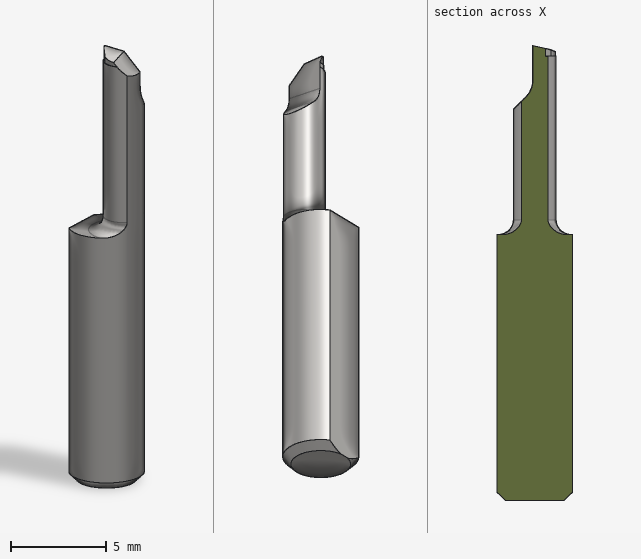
import cadquery as cq
import math

total_height = 24.0
shank_radius = 2.005
shank_height = 14.02
shank_chamfer = 0.43
flat_x = -1.548

neck_radius = 1.13
neck_x = 1.1
root_fillet = 0.77
neck_left_x = neck_x - neck_radius

rake_y = 0.108
relief_radius = 1.25
relief_runout_z = 20.6

tip_base_z = 23.4
nose_x = -0.17
nose_side_z = 23.95
undercut_z = 23.66
flank_end_x = 0.43
flank_end_y = -0.86
heel_y = -1.1
heel_end_x = 2.1
heel_end_y = -0.48
top_slope_x = 0.1
top_slope_y = 0.22
back_bevel_x = 1.0
bevel_slope_y = 0.16

margin = 2.4


def make_shank():
    shank = cq.Workplane("XY").circle(shank_radius).extrude(shank_height)
    shank = shank.faces("<Z").chamfer(shank_chamfer)
    flat_cutter = cq.Workplane("XY").box(
        margin, 2 * (shank_radius + margin), 2 * total_height
    ).translate((flat_x - margin / 2, 0, 0))
    return shank.cut(flat_cutter)


def make_neck():
    """Revolved neck with a concave flare where it meets the shank."""
    arc_reach = root_fillet * (1 - math.sqrt(0.5))
    return (
        cq.Workplane("XZ", origin=(neck_x, 0, 0))
        .moveTo(0, shank_height - root_fillet)
        .lineTo(neck_radius + root_fillet, shank_height - root_fillet)
        .lineTo(neck_radius + root_fillet, shank_height)
        .threePointArc(
            (neck_radius + arc_reach, shank_height + arc_reach),
            (neck_radius, shank_height + root_fillet),
        )
        .lineTo(neck_radius, tip_base_z)
        .lineTo(0, tip_base_z)
        .close()
        .revolve(360, (0, 0, 0), (0, 1, 0))
    )


def make_tip():
    """Tip with a pointed nose overhanging the neck on the -X side."""
    tip = (
        cq.Workplane("XY", origin=(0, 0, tip_base_z))
        .moveTo(nose_x, rake_y)
        .lineTo(nose_x, 0)
        .lineTo(flank_end_x, flank_end_y)
        .threePointArc((neck_x, heel_y), (heel_end_x, heel_end_y))
        .lineTo(heel_end_x, rake_y)
        .close()
        .extrude(total_height - tip_base_z)
    )
    undercut = (
        cq.Workplane("XZ")
        .moveTo(nose_x - margin, tip_base_z - margin)
        .lineTo(neck_left_x, tip_base_z - margin)
        .lineTo(neck_left_x, undercut_z)
        .lineTo(nose_x, nose_side_z)
        .lineTo(nose_x - margin, nose_side_z)
        .close()
        .extrude(shank_radius + margin, both=True)
    )
    return tip.cut(undercut)


def make_relief_cutter():
    """Flat rake face, tangent arc and 45 degree ramp, cut across X."""
    half = math.sqrt(0.5)
    arc_centre_y = rake_y + relief_radius
    ramp_start_y = arc_centre_y - relief_radius * half
    ramp_start_z = relief_runout_z + neck_radius - ramp_start_y
    arc_start_z = ramp_start_z + relief_radius * half
    arc_mid_angle = math.radians(22.5)
    arc_mid = (
        arc_centre_y - relief_radius * math.cos(arc_mid_angle),
        arc_start_z - relief_radius * math.sin(arc_mid_angle),
    )
    return (
        cq.Workplane("YZ")
        .moveTo(rake_y, total_height + margin)
        .lineTo(rake_y, arc_start_z)
        .threePointArc(arc_mid, (ramp_start_y, ramp_start_z))
        .lineTo(neck_radius + margin, relief_runout_z - margin)
        .lineTo(neck_radius + margin, total_height + margin)
        .close()
        .extrude(shank_radius + margin, both=True)
    )


def make_top_cutter():
    """Half space above the top face, which falls towards +X and -Y."""
    top_plane = cq.Plane(
        origin=(nose_x, rake_y, total_height),
        xDir=(1, 0, -top_slope_x),
        normal=(top_slope_x, -top_slope_y, 1),
    )
    return cq.Workplane(top_plane).rect(4 * margin, 4 * margin).extrude(margin)


def make_back_bevel_cutter():
    """Half space above the 45 degree bevel falling towards +X, tilted slightly in Y."""
    bevel_z = total_height - top_slope_x * (back_bevel_x - nose_x)
    bevel_plane = cq.Plane(
        origin=(back_bevel_x, rake_y, bevel_z),
        xDir=(1, 0, -1),
        normal=(1, -bevel_slope_y, 1),
    )
    return cq.Workplane(bevel_plane).rect(4 * margin, 4 * margin).extrude(margin)


shank_envelope = cq.Workplane("XY").circle(shank_radius).extrude(total_height)
upper = make_neck().union(make_tip()).intersect(shank_envelope)
for cutter in (make_relief_cutter(), make_top_cutter(), make_back_bevel_cutter()):
    upper = upper.cut(cutter)

result = make_shank().union(upper)